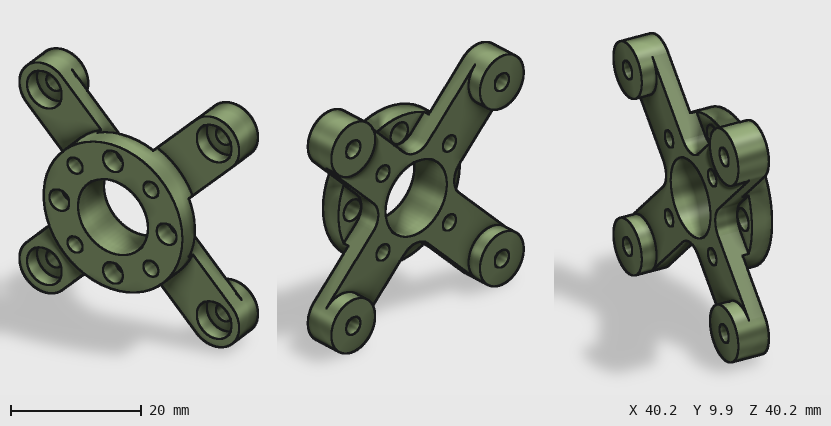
import cadquery as cq
import math

outer_side = 40.15
total_depth = 9.9
flange_depth = 3.55
arm_front = 4.57
arm_back = 7.35

flange_radius = 12.7
bore_radius = 6.4
boss_radius = 4.57
counterbore_radius = 3.17
boss_hole_radius = 1.5
notch_radius = 3.45
large_hole_radius = 1.8
small_hole_radius = 1.35
hole_circle_radius = 9.8

counterbore_depth = 2.8

boss_offset = outer_side / 2 - boss_radius
arm_length = boss_offset * math.sqrt(2)
arm_tilt = 45
axis_angles = [0, 90, 180, 270]
arm_angles = [angle + arm_tilt for angle in axis_angles]


def polar_points(radius, angles):
    """Points on a circle around the part axis."""
    return [
        (radius * math.cos(math.radians(a)), radius * math.sin(math.radians(a)))
        for a in angles
    ]


def cylinders(points, radius, front, back):
    """Cylinders along +Y at the given (X, Z) points."""
    return (
        cq.Workplane("XZ", origin=(0, front, 0))
        .pushPoints(points)
        .circle(radius)
        .extrude(front - back)
    )


def make_cross(front, back):
    """Two crossed bars with rounded inner corners."""
    depth = back - front
    middle = (front + back) / 2
    bar = cq.Workplane("XY").box(2 * arm_length, depth, 2 * boss_radius)
    bar = bar.translate((0, middle, 0))
    first = bar.rotate((0, 0, 0), (0, 1, 0), arm_tilt)
    second = bar.rotate((0, 0, 0), (0, 1, 0), -arm_tilt)
    cross = first.union(second)
    inner_corners = cq.selectors.BoxSelector(
        (-flange_radius, front - depth, -flange_radius),
        (flange_radius, back + depth, flange_radius),
    )
    return cross.edges("|Y").edges(inner_corners).fillet(notch_radius)


axis_point = [(0, 0)]
boss_points = polar_points(arm_length, arm_angles)

flange = cylinders(axis_point, flange_radius, 0, flange_depth)
hub_outline = cylinders(axis_point, flange_radius, flange_depth, arm_back)
hub = make_cross(flange_depth, arm_back).intersect(hub_outline)

arms = make_cross(arm_front, arm_back)
bosses = cylinders(boss_points, boss_radius, arm_front, total_depth)
body = flange.union(hub).union(arms).union(bosses)

body = body.cut(cylinders(axis_point, bore_radius, 0, total_depth))
large_hole_points = polar_points(hole_circle_radius, axis_angles)
body = body.cut(cylinders(large_hole_points, large_hole_radius, 0, total_depth))
small_hole_points = polar_points(hole_circle_radius, arm_angles)
body = body.cut(cylinders(small_hole_points, small_hole_radius, 0, total_depth))

body = body.cut(cylinders(boss_points, boss_hole_radius, arm_front, total_depth))
counterbore_floor = arm_front + counterbore_depth
body = body.cut(cylinders(boss_points, counterbore_radius, arm_front, counterbore_floor))

result = body